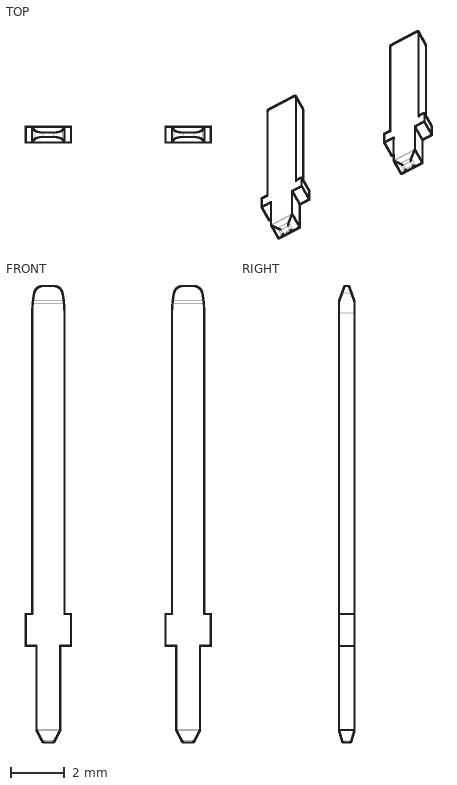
import cadquery as cq

total_height = 17.0
thickness = 0.6
pitch = 5.2
pin_count = 2

collar_width = 1.7
shank_width = 1.2
tail_width = 0.9

collar_bottom = 3.6
collar_top = 4.8

crown_height = 1.0
crown_width = 0.94
crown_corner_radius = 0.34
crown_wedge_height = 0.6
crown_edge_thickness = 0.17

tip_height = 0.48
tip_width = 0.4
tip_thickness = 0.32

wedge_blend_radius = 0.34
tip_blend_radius = 0.14
tip_end_radius = 0.1


def round_edges(prism, height, axis, radius):
    """Round the prism edges parallel to the axis that lie at the given height."""
    tolerance = 0.002
    edges = [
        edge for edge in prism.edges("|" + axis).vals()
        if abs(edge.Center().z - height) < tolerance
    ]
    return prism.newObject(edges).fillet(radius)


def make_blank():
    """Flat blank with the stepped width of the pin, centred on Y."""
    crown_start = total_height - crown_height
    blank = (
        cq.Workplane("XZ")
        .moveTo(0, 0)
        .lineTo(tip_width / 2, 0)
        .lineTo(tail_width / 2, tip_height)
        .lineTo(tail_width / 2, collar_bottom)
        .lineTo(collar_width / 2, collar_bottom)
        .lineTo(collar_width / 2, collar_top)
        .lineTo(shank_width / 2, collar_top)
        .lineTo(shank_width / 2, crown_start)
        .tangentArcPoint((crown_width / 2, total_height), relative=False)
        .lineTo(0, total_height)
        .mirrorY()
        .extrude(thickness / 2, both=True)
    )
    blank = round_edges(blank, total_height, "Y", crown_corner_radius)
    return round_edges(blank, 0, "Y", tip_end_radius)


def make_side_profile():
    """Slab as wide as the collar whose front and back faces taper at both ends."""
    wedge_start = total_height - crown_wedge_height
    slab = (
        cq.Workplane("YZ")
        .moveTo(0, 0)
        .lineTo(tip_thickness / 2, 0)
        .lineTo(thickness / 2, tip_height)
        .lineTo(thickness / 2, wedge_start)
        .lineTo(crown_edge_thickness / 2, total_height)
        .lineTo(0, total_height)
        .mirrorY()
        .extrude(collar_width / 2, both=True)
    )
    slab = round_edges(slab, wedge_start, "X", wedge_blend_radius)
    slab = round_edges(slab, tip_height, "X", tip_blend_radius)
    return round_edges(slab, 0, "X", tip_end_radius)


def make_pin(x):
    """One complete pin, centred at the given X."""
    return make_blank().intersect(make_side_profile()).translate((x, 0, 0))


first_x = -pitch * (pin_count - 1) / 2
pins = [make_pin(first_x + index * pitch) for index in range(pin_count)]

result = cq.Compound.makeCompound([pin.val() for pin in pins])